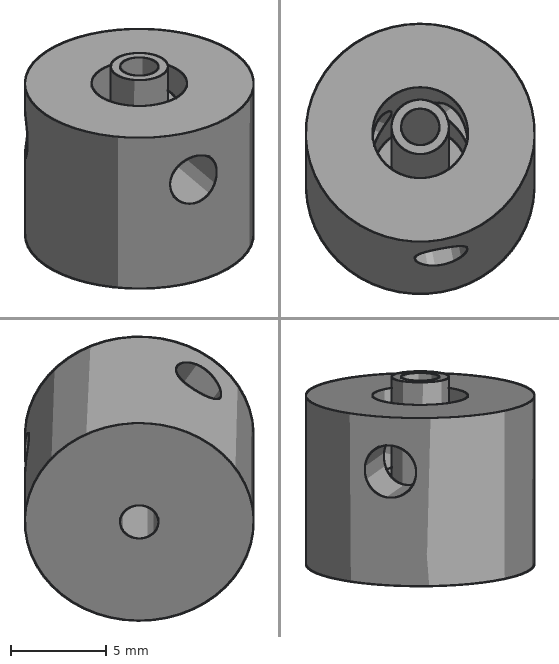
import cadquery as cq

body_diameter = 12
body_height = 9

tube_diameter = 3
bore_diameter = 2.0
tube_height = 10.0
recess_diameter = 5.0
recess_floor = 2.0

radial_hole_count = 3
radial_hole_diameter = 2.8
radial_hole_height = 6.1


def cylinder(diameter, bottom, top):
    """Vertical cylinder on the part axis between two heights."""
    return cq.Workplane("XY").workplane(offset=bottom).circle(diameter / 2).extrude(top - bottom)


def radial_hole(angle):
    """Horizontal cutter from the part axis outward at the given angle."""
    cutter = (
        cq.Workplane("YZ")
        .center(0, radial_hole_height)
        .circle(radial_hole_diameter / 2)
        .extrude(body_diameter)
    )
    return cutter.rotate((0, 0, 0), (0, 0, 1), angle)


housing = cylinder(body_diameter, 0, body_height)
housing = housing.cut(cylinder(recess_diameter, recess_floor, body_height))
for index in range(radial_hole_count):
    housing = housing.cut(radial_hole(index * 360 / radial_hole_count))

tube = cylinder(tube_diameter, 0, tube_height)
bore = cylinder(bore_diameter, 0, tube_height)
result = housing.union(tube).cut(bore)